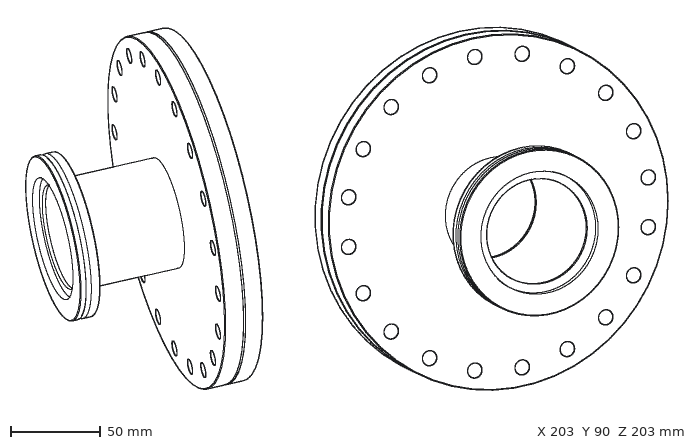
import cadquery as cq

overall_length = 90.0

large_diameter = 203.0
large_thickness = 22.7
large_edge_chamfer = 0.5
rim_groove_width = 1.2
rim_groove_depth = 0.2
rim_groove_setback = 10.4
bolt_count = 20
bolt_hole_diameter = 8.3
bolt_hole_chamfer = 0.25
bolt_circle_diameter = 181.0

small_diameter = 95.0
small_thickness = 12.0
small_edge_chamfer = 0.5
clamp_groove_radius = 1.52
clamp_groove_position = 5.0
centring_recess_diameter = 70.0
centring_recess_depth = 4.0

tube_outer_diameter = 63.5
tube_inner_diameter = 60.3
lip_diameter = 60.0
lip_length = 2.0

large_front = overall_length - large_thickness
tube_start = centring_recess_depth + lip_length
tube_end = overall_length - lip_length


def disc(diameter, start, end):
    """Solid cylinder on the Y axis between two Y positions."""
    base = cq.Workplane("XZ", origin=(0, start, 0))
    return base.circle(diameter / 2).extrude(start - end)


def ring(outer_diameter, inner_diameter, start, end):
    """Plain ring on the Y axis between two Y positions."""
    return disc(outer_diameter, start, end).cut(disc(inner_diameter, start, end))


def bolt_circle():
    """Evenly spaced bolt centres on the front face, straddling the X and Z axes."""
    half_pitch = 180 / bolt_count
    face = cq.Workplane("XZ", origin=(0, large_front, 0))
    return face.polarArray(bolt_circle_diameter / 2, half_pitch, 360, bolt_count)


def bolt_holes():
    """Through holes with a small chamfer at the front mouth."""
    shanks = bolt_circle().circle(bolt_hole_diameter / 2).extrude(-large_thickness)
    mouth_radius = bolt_hole_diameter / 2 + bolt_hole_chamfer
    mouths = bolt_circle().circle(mouth_radius).extrude(-bolt_hole_chamfer, taper=45)
    return shanks.union(mouths)


def make_large_flange():
    """Bolted flange with a shallow rim groove and a socket for the tube."""
    blank = disc(large_diameter, large_front, overall_length)
    flange = blank.faces("<Y or >Y").chamfer(large_edge_chamfer)
    groove_end = overall_length - rim_groove_setback
    groove_floor = large_diameter - 2 * rim_groove_depth
    groove = ring(large_diameter, groove_floor, groove_end - rim_groove_width, groove_end)
    socket = disc(tube_outer_diameter, large_front, tube_end)
    bore = disc(lip_diameter, tube_end, overall_length)
    return flange.cut(groove).cut(socket).cut(bore).cut(bolt_holes())


def make_small_flange():
    """Clamp flange with a half-round rim groove, a centring recess and a tube socket."""
    blank = disc(small_diameter, 0, small_thickness)
    flange = blank.faces("<Y or >Y").chamfer(small_edge_chamfer)
    groove = cq.Workplane("XY").add(
        cq.Solid.makeTorus(
            small_diameter / 2,
            clamp_groove_radius,
            cq.Vector(0, clamp_groove_position, 0),
            cq.Vector(0, 1, 0),
        )
    )
    recess = disc(centring_recess_diameter, 0, centring_recess_depth)
    bore = disc(lip_diameter, centring_recess_depth, tube_start)
    socket = disc(tube_outer_diameter, tube_start, small_thickness)
    return flange.cut(groove).cut(recess).cut(bore).cut(socket)


def make_tube():
    """Plain tube reaching from lip to lip."""
    return ring(tube_outer_diameter, tube_inner_diameter, tube_start, tube_end)


large_flange = make_large_flange()
small_flange = make_small_flange()
tube = make_tube()

result = cq.Compound.makeCompound([large_flange.val(), small_flange.val(), tube.val()])